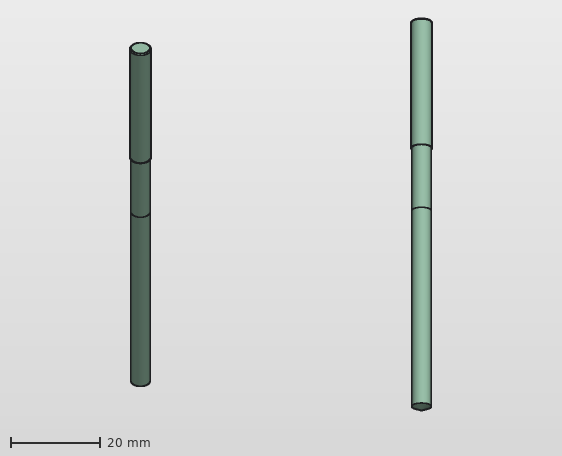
import cadquery as cq
import math

overall_length = 93.0
shank_length = 30.2
neck_length = 15.0
shank_diameter = 4.78
bit_diameter = 4.4
shank_chamfer = 0.3
point_angle = 130.0

bit_radius = bit_diameter / 2
shank_radius = shank_diameter / 2
tip_height = bit_radius / math.tan(math.radians(point_angle / 2))
joint_z = overall_length - shank_length - neck_length
shoulder_z = overall_length - shank_length


def make_shank():
    """Chamfered shank stepping down to a neck as wide as the bit."""
    profile = (
        cq.Workplane("YZ")
        .moveTo(0, joint_z)
        .lineTo(-bit_radius, joint_z)
        .lineTo(-bit_radius, shoulder_z)
        .lineTo(-shank_radius, shoulder_z)
        .lineTo(-shank_radius, overall_length - shank_chamfer)
        .lineTo(-shank_radius + shank_chamfer, overall_length)
        .lineTo(0, overall_length)
        .close()
    )
    return profile.revolve(360, (0, 0, 0), (0, 1, 0))


def make_bit():
    """Round bit with a conical point, butting against the neck."""
    profile = (
        cq.Workplane("XZ")
        .moveTo(0, 0)
        .lineTo(-bit_radius, tip_height)
        .lineTo(-bit_radius, joint_z)
        .lineTo(0, joint_z)
        .close()
    )
    return profile.revolve(360, (0, 0, 0), (0, 1, 0))


shank = make_shank()
bit = make_bit()

result = cq.Compound.makeCompound([shank.val(), bit.val()])